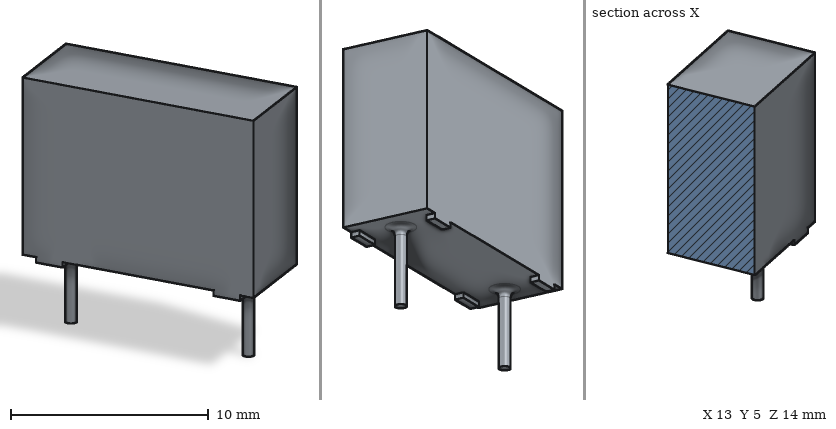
import cadquery as cq

LENGTH = 13.0
DEPTH = 5.0
TOTAL_HEIGHT = 14.0

BODY_HEIGHT = 9.7
BODY_BOTTOM = TOTAL_HEIGHT - BODY_HEIGHT

FOOT_LENGTH = 1.5
FOOT_DEPTH = 0.5
FOOT_HEIGHT = 0.3

PIN_PITCH = 10.0
PIN_RADIUS = 0.6 / 2
FLARE_RADIUS = 0.5

PIN_POSITIONS = (-PIN_PITCH / 2, PIN_PITCH / 2)


def make_body():
    """Plain box standing above the pins, centred on the Z axis."""
    body = cq.Workplane("XY").box(LENGTH, DEPTH, BODY_HEIGHT, centered=(True, True, False))
    return body.translate((0, 0, BODY_BOTTOM))


def make_feet():
    """Four blocks under the body, flush with its front and back faces."""
    foot_y = (DEPTH - FOOT_DEPTH) / 2
    centres = [(x, y) for x in PIN_POSITIONS for y in (-foot_y, foot_y)]
    return (
        cq.Workplane("XY", origin=(0, 0, BODY_BOTTOM))
        .pushPoints(centres)
        .rect(FOOT_LENGTH, FOOT_DEPTH)
        .extrude(-FOOT_HEIGHT)
    )


def make_pin(x):
    """Round pin from Z = 0 up to the body, revolved with its flare."""
    flare_start = BODY_BOTTOM - FLARE_RADIUS
    return (
        cq.Workplane("XZ")
        .lineTo(PIN_RADIUS, 0)
        .lineTo(PIN_RADIUS, flare_start)
        .radiusArc((PIN_RADIUS + FLARE_RADIUS, BODY_BOTTOM), FLARE_RADIUS)
        .lineTo(0, BODY_BOTTOM)
        .close()
        .revolve(360, (0, 0), (0, 1))
        .translate((x, 0, 0))
    )


result = make_body().union(make_feet())
for pin_x in PIN_POSITIONS:
    result = result.union(make_pin(pin_x))